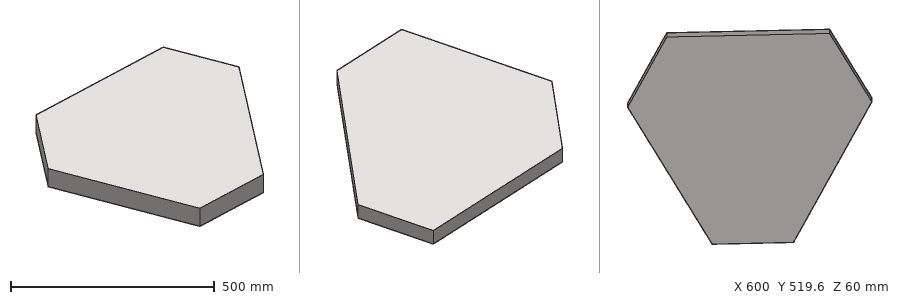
import cadquery as cq
import math

width = 600.0
thickness = 60.0
short_side = width / 3
long_side = 2 * short_side
depth = (short_side + long_side) * math.sin(math.radians(60))
tip_y = short_side * math.sin(math.radians(60))

outline = [
    (-long_side / 2, 0),
    (long_side / 2, 0),
    (width / 2, tip_y),
    (short_side / 2, depth),
    (-short_side / 2, depth),
    (-width / 2, tip_y),
]

result = cq.Workplane("XY").polyline(outline).close().extrude(thickness)